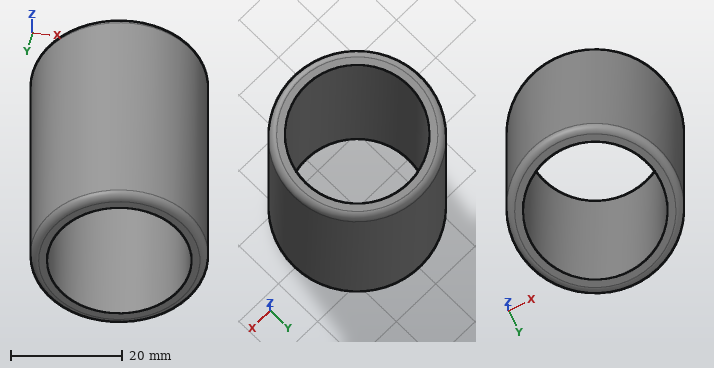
import cadquery as cq

length = 47.0
outer_diameter = 32.0
bore_diameter = 26.0
rim_radius = (outer_diameter - bore_diameter) / 4

body = cq.Workplane("XY").circle(outer_diameter / 2).extrude(length)
body = body.faces("<Z or >Z").edges().fillet(rim_radius)

result = body.faces(">Z").workplane().circle(bore_diameter / 2).cutThruAll()